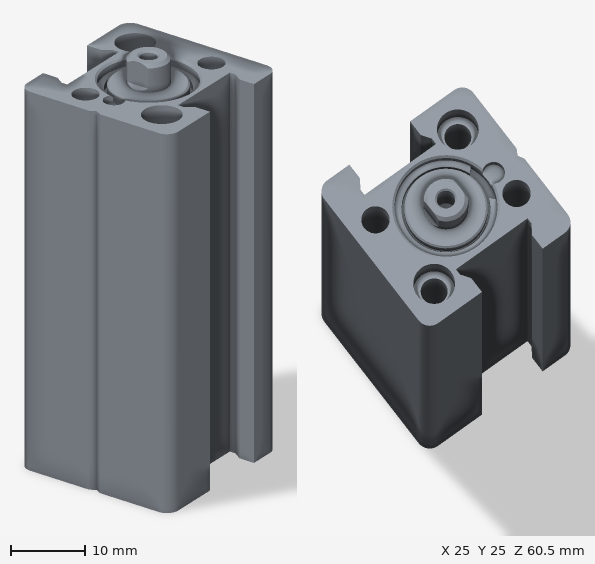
import cadquery as cq
import math

total_height = 60.5
rod_projection = 3.5
housing_height = total_height - rod_projection
housing_width = 25.0
corner_radius = 1.9

slot_center_y = -1.8
slot_mouth_half = 5.1
slot_floor_half = 6.0
slot_floor_x = 7.85
slot_widening_start_x = 10.1
slot_widening_end_x = 8.8

groove_half_width = 0.9
groove_depth = 0.5

mount_offset = 7.75
mount_hole_diameter = 3.6
mount_counterbore_diameter = 5.6
mount_counterbore_depth = 3.5
through_hole_diameter = 3.8
through_hole_x = 4.2
through_hole_y = 8.7

recess_diameter = 13.85
recess_depth = 9.1
recess_chamfer = 0.3

pocket_diameter = 3.0
pocket_y = -8.0
pocket_depth = 1.2

ring_top_depth = 1.35
ring_thickness = 1.0
ring_inner_diameter = 12.0
ring_gap_inner_half = 2.1
ring_gap_flare = 1.2

boss_diameter = 11.2
boss_base_diameter = 11.5
boss_base_top_depth = 2.05
boss_top_depth = 0.6
boss_chamfer = 0.25

rod_diameter = 6.0
rod_chamfer = 0.5
rod_flat_offset = 2.5
rod_hole_diameter = 2.5
rod_hole_depth = 6.05
rod_hole_chamfer = 0.25
drill_point_angle = 118.0

recess_floor_z = housing_height - recess_depth
ring_top_z = housing_height - ring_top_depth
flange_top_z = ring_top_z - ring_thickness
boss_top_z = housing_height - boss_top_depth
boss_base_top_z = housing_height - boss_base_top_depth


def cylinder(diameter, bottom_z, top_z, x=0.0, y=0.0):
    return cq.Workplane("XY", origin=(x, y, bottom_z)).circle(diameter / 2).extrude(top_z - bottom_z)


def slot_cutter():
    """Left-hand slot, wider at its floor than at its mouth, over the full height."""
    half_outline = [
        (-housing_width / 2, slot_mouth_half),
        (-slot_widening_start_x, slot_mouth_half),
        (-slot_widening_end_x, slot_floor_half),
        (-slot_floor_x, slot_floor_half),
    ]
    mirrored = [(x, -y) for x, y in reversed(half_outline)]
    return (
        cq.Workplane("XY", origin=(0, slot_center_y, 0))
        .polyline(half_outline + mirrored)
        .close()
        .extrude(housing_height)
    )


def groove_cutter():
    front_y = -housing_width / 2
    return (
        cq.Workplane("XY")
        .polyline([
            (-groove_half_width, front_y),
            (groove_half_width, front_y),
            (0, front_y + groove_depth),
        ])
        .close()
        .extrude(housing_height)
    )


def recess_chamfer_cutter():
    """45-degree cone that widens the mouth of the recess."""
    radius = recess_diameter / 2
    cone_bottom = cq.Vector(0, 0, housing_height - recess_chamfer)
    cone = cq.Solid.makeCone(radius, radius + recess_chamfer, recess_chamfer, cone_bottom)
    return cq.Workplane(cone)


def make_housing():
    body = (
        cq.Workplane("XY")
        .rect(housing_width, housing_width)
        .extrude(housing_height)
        .edges("|Z")
        .fillet(corner_radius)
    )
    body = body.cut(groove_cutter())

    body = body.cut(cylinder(recess_diameter, recess_floor_z, housing_height))
    body = body.cut(recess_chamfer_cutter())
    body = body.cut(cylinder(pocket_diameter, housing_height - pocket_depth, housing_height, y=pocket_y))

    counterbore_floor_z = housing_height - mount_counterbore_depth
    for side in (-1, 1):
        mount_x = side * mount_offset
        mount_y = -side * mount_offset
        body = body.cut(cylinder(mount_hole_diameter, 0, housing_height, mount_x, mount_y))
        body = body.cut(
            cylinder(mount_counterbore_diameter, counterbore_floor_z, housing_height, mount_x, mount_y)
        )
        body = body.cut(
            cylinder(through_hole_diameter, 0, housing_height, side * through_hole_x, side * through_hole_y)
        )

    for turn in (0, 180):
        body = body.cut(slot_cutter().rotate((0, 0, 0), (0, 0, 1), turn))
    return body


def make_retaining_ring():
    """Ring that is open at the front, with flared ends."""
    ring = cylinder(recess_diameter, flange_top_z, ring_top_z)
    ring = ring.cut(cylinder(ring_inner_diameter, flange_top_z, ring_top_z))
    inner_radius = ring_inner_diameter / 2
    gap_inner_y = -math.sqrt(inner_radius**2 - ring_gap_inner_half**2)
    gap_outer_y = -recess_diameter / 2
    gap_outer_half = ring_gap_inner_half + ring_gap_flare * (gap_inner_y - gap_outer_y)
    gap = (
        cq.Workplane("XY", origin=(0, 0, flange_top_z))
        .polyline([
            (-gap_outer_half, gap_outer_y),
            (gap_outer_half, gap_outer_y),
            (ring_gap_inner_half, gap_inner_y),
            (ring_gap_inner_half, 0),
            (-ring_gap_inner_half, 0),
            (-ring_gap_inner_half, gap_inner_y),
        ])
        .close()
        .extrude(ring_thickness)
    )
    return ring.cut(gap)


def make_rod_cover():
    flange = cylinder(recess_diameter, recess_floor_z, flange_top_z)
    boss = cylinder(boss_diameter, flange_top_z, boss_top_z).faces(">Z").edges().chamfer(boss_chamfer)
    base = cylinder(boss_base_diameter, flange_top_z, boss_base_top_z)
    return flange.union(boss).union(base).cut(cylinder(rod_diameter, recess_floor_z, boss_top_z))


def rod_flat_cutter():
    """Cutter for the flat on the +Y side; its lower end slopes outward at 45 degrees."""
    radius = rod_diameter / 2
    slope_drop = radius - rod_flat_offset
    return (
        cq.Workplane("YZ", origin=(-radius, 0, 0))
        .polyline([
            (rod_flat_offset, total_height),
            (rod_flat_offset, housing_height),
            (radius, housing_height - slope_drop),
            (radius, total_height),
        ])
        .close()
        .extrude(rod_diameter)
    )


def rod_hole_cutter():
    """Blind hole with a countersunk mouth and a drill-point end, turned about Z."""
    radius = rod_hole_diameter / 2
    hole_floor_z = total_height - rod_hole_depth
    point_height = radius / math.tan(math.radians(drill_point_angle / 2))
    return (
        cq.Workplane("XZ")
        .polyline([
            (0, total_height),
            (radius + rod_hole_chamfer, total_height),
            (radius, total_height - rod_hole_chamfer),
            (radius, hole_floor_z),
            (0, hole_floor_z - point_height),
        ])
        .close()
        .revolve(360, (0, 0, 0), (0, 1, 0))
    )


def make_rod():
    rod = cylinder(rod_diameter, recess_floor_z, total_height).faces(">Z").edges().chamfer(rod_chamfer)
    for turn in (0, 180):
        rod = rod.cut(rod_flat_cutter().rotate((0, 0, 0), (0, 0, 1), turn))
    return rod.cut(rod_hole_cutter())


housing = make_housing()
retaining_ring = make_retaining_ring()
rod_cover = make_rod_cover()
rod = make_rod()

result = cq.Compound.makeCompound([
    housing.val(),
    retaining_ring.val(),
    rod_cover.val(),
    rod.val(),
])